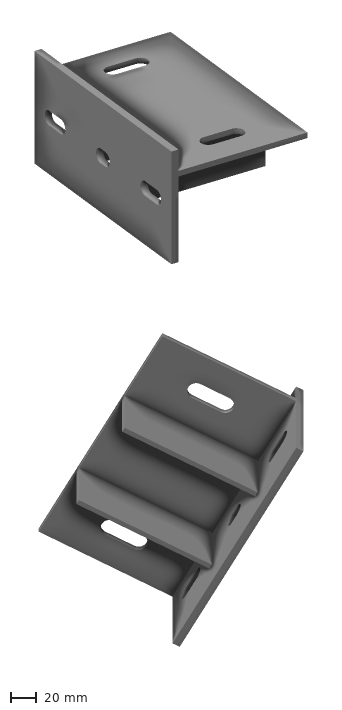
import cadquery as cq

WIDTH = 200.0
FACE_HEIGHT = 100.0
FACE_THICKNESS = 6.5
SHELF_DEPTH = 120.0
SHELF_THICKNESS = 5.0
SHELF_TOP = 31.0
SHELF_BOTTOM = SHELF_TOP - SHELF_THICKNESS

RIB_HEIGHT = 52.0
RIB_THICKNESS = 4.0
RIB_OUTER_X = 39.0

FACE_SLOT_WIDTH = 13.0
FACE_SIDE_SLOT_LENGTH = 30.0
FACE_SIDE_SLOT_X = 70.0
FACE_CENTRE_SLOT_LENGTH = 20.0

SHELF_SLOT_WIDTH = 14.0
SHELF_SLOT_LENGTH = 40.0
SHELF_SLOT_X = 70.0
SHELF_SLOT_Y = SHELF_DEPTH / 2
SHELF_SLOT_ANGLE = 90.0


def make_face_plate():
    """Upright plate in front of the shelf, with its back on Y = 0 and centred on Z = 0."""
    plate = cq.Workplane("XZ").rect(WIDTH, FACE_HEIGHT).extrude(FACE_THICKNESS)
    side_slots = (
        cq.Workplane("XZ")
        .pushPoints([(-FACE_SIDE_SLOT_X, 0), (FACE_SIDE_SLOT_X, 0)])
        .slot2D(FACE_SIDE_SLOT_LENGTH, FACE_SLOT_WIDTH)
        .extrude(FACE_THICKNESS)
    )
    centre_slot = (
        cq.Workplane("XZ")
        .slot2D(FACE_CENTRE_SLOT_LENGTH, FACE_SLOT_WIDTH)
        .extrude(FACE_THICKNESS)
    )
    return plate.cut(side_slots).cut(centre_slot)


def make_shelf():
    """Level plate behind the face plate, with two slots."""
    shelf = (
        cq.Workplane("XY")
        .workplane(offset=SHELF_BOTTOM)
        .center(0, SHELF_DEPTH / 2)
        .rect(WIDTH, SHELF_DEPTH)
        .extrude(SHELF_THICKNESS)
    )
    slots = (
        cq.Workplane("XY")
        .workplane(offset=SHELF_BOTTOM)
        .pushPoints([(-SHELF_SLOT_X, SHELF_SLOT_Y), (SHELF_SLOT_X, SHELF_SLOT_Y)])
        .slot2D(SHELF_SLOT_LENGTH, SHELF_SLOT_WIDTH, SHELF_SLOT_ANGLE)
        .extrude(SHELF_THICKNESS)
    )
    return shelf.cut(slots)


def make_rib(side):
    """Rib under the shelf; side is -1 for the left rib and 1 for the right rib."""
    centre_x = side * (RIB_OUTER_X - RIB_THICKNESS / 2)
    return (
        cq.Workplane("XY")
        .workplane(offset=SHELF_BOTTOM - RIB_HEIGHT)
        .center(centre_x, SHELF_DEPTH / 2)
        .rect(RIB_THICKNESS, SHELF_DEPTH)
        .extrude(RIB_HEIGHT)
    )


face_plate = make_face_plate()
shelf = make_shelf()
ribs = [make_rib(side) for side in (-1, 1)]

result = cq.Compound.makeCompound([face_plate.val(), shelf.val(), *[rib.val() for rib in ribs]])